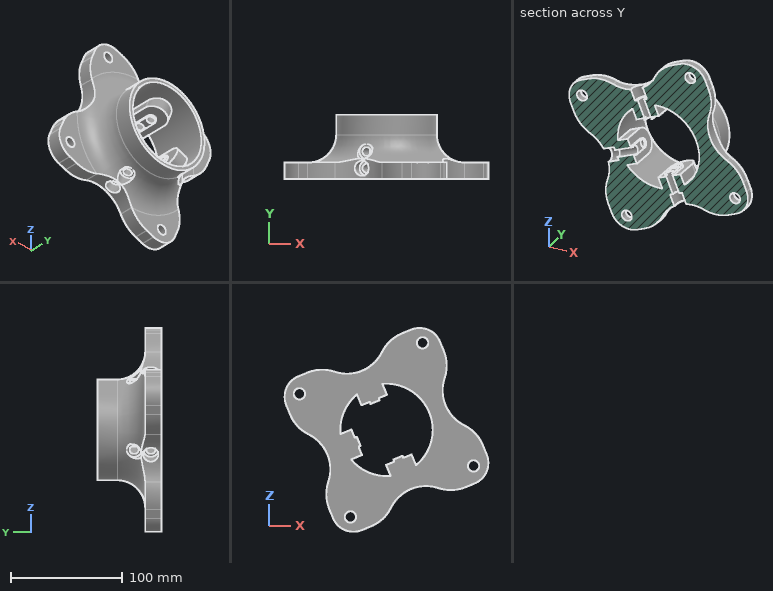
import cadquery as cq
import math

flange_thickness = 15.0
flange_side = 150.0
corner_radius = 20.0
scallop_radius = 35.0
scallop_center_distance = 92.7
shoulder_radius = 35.0
pattern_angle = 22.5
side_count = 4

bolt_spacing = 120.0
bolt_hole_diameter = 10.0

total_length = 58.0
hub_radius = 45.5
flare_radius = 25.0
bore_radius = 41.5

pad_width = 25.0
pad_end_center = 29.0
pad_distance = 29.0
key_width = 9.0
key_distance = 27.0
pad_angles = [pattern_angle + 90.0 * step for step in (1, 2, 3)]

front_screw_position = 9.8
screw_spacing = 15.0
screw_hole_diameter = 8.0
counterbore_diameter = 13.5
counterbore_floor_distance = 47.0

screw_positions = [front_screw_position, front_screw_position + screw_spacing]
half_side = flange_side / 2
flare_outer_radius = hub_radius + flare_radius
flare_end = flange_thickness + flare_radius
beyond_part = flange_side


def turned(point, angle):
    """Rotate a 2D point about the origin."""
    x, z = point
    a = math.radians(angle)
    return (x * math.cos(a) - z * math.sin(a), x * math.sin(a) + z * math.cos(a))


def arc_point(center, radius, angle):
    """Point on a circle at an angle measured from its first axis."""
    a = math.radians(angle)
    return (center[0] + radius * math.cos(a), center[1] + radius * math.sin(a))


def front_plane():
    """XZ plane with local axes +X and +Z; its normal is -Y."""
    return cq.Workplane("XZ")


def flange_outline():
    """Closed outline of the flange, each side turned from one master side."""
    shoulder_z = half_side - shoulder_radius
    drop = scallop_center_distance - shoulder_z
    shoulder_x = math.sqrt((shoulder_radius + scallop_radius) ** 2 - drop**2)
    tangent_angle = math.degrees(math.atan2(drop, -shoulder_x))
    right_shoulder = (shoulder_x, shoulder_z)
    left_shoulder = (-shoulder_x, shoulder_z)
    corner_offset = half_side - corner_radius
    corner = (corner_offset, corner_offset)
    middle_angle = (90.0 + tangent_angle) / 2

    corner_start = (half_side, corner_offset)
    corner_mid = arc_point(corner, corner_radius, 45.0)
    corner_end = (corner_offset, half_side)
    right_start = (shoulder_x, half_side)
    right_mid = arc_point(right_shoulder, shoulder_radius, middle_angle)
    right_end = arc_point(right_shoulder, shoulder_radius, tangent_angle)
    scallop_bottom = (0.0, scallop_center_distance - scallop_radius)
    left_start = arc_point(left_shoulder, shoulder_radius, 180.0 - tangent_angle)
    left_mid = arc_point(left_shoulder, shoulder_radius, 180.0 - middle_angle)
    left_end = (-shoulder_x, half_side)
    next_corner = (-corner_offset, half_side)

    outline = front_plane().moveTo(*turned(corner_start, pattern_angle))
    for side in range(side_count):
        angle = pattern_angle + 360.0 / side_count * side
        outline = outline.threePointArc(turned(corner_mid, angle), turned(corner_end, angle))
        outline = outline.lineTo(*turned(right_start, angle))
        outline = outline.threePointArc(turned(right_mid, angle), turned(right_end, angle))
        outline = outline.threePointArc(turned(scallop_bottom, angle), turned(left_start, angle))
        outline = outline.threePointArc(turned(left_mid, angle), turned(left_end, angle))
        outline = outline.lineTo(*turned(next_corner, angle))
    return outline.close()


def make_body():
    """Flared hub of revolution about Y, trimmed to the flange outline."""
    flare_mid = arc_point((flare_outer_radius, flare_end), flare_radius, 225.0)
    profile = (
        cq.Workplane("XY")
        .lineTo(beyond_part, 0)
        .lineTo(beyond_part, flange_thickness)
        .lineTo(flare_outer_radius, flange_thickness)
        .threePointArc(flare_mid, (hub_radius, flare_end))
        .lineTo(hub_radius, total_length)
        .lineTo(0, total_length)
        .close()
    )
    turned_body = profile.revolve(360, (0, 0, 0), (0, 1, 0))
    return turned_body.intersect(flange_outline().extrude(-total_length))


def radial_plane(angle, distance):
    """Plane facing outward at an angle about the Y axis; local Y runs along the part's Y."""
    a = math.radians(angle)
    outward = cq.Vector(math.cos(a), 0, math.sin(a))
    across = cq.Vector(0, 1, 0).cross(outward)
    return cq.Workplane(cq.Plane(outward * distance, across, outward))


def rounded_tongue(angle, distance, width, end_center):
    """Block from the front face to a round end, sunk into the wall around the bore."""
    root_distance = (bore_radius + hub_radius) / 2
    return (
        radial_plane(angle, distance)
        .moveTo(-width / 2, 0)
        .lineTo(width / 2, 0)
        .lineTo(width / 2, end_center)
        .threePointArc((0, end_center + width / 2), (-width / 2, end_center))
        .close()
        .extrude(root_distance - distance)
    )


def add_pads(body):
    """Add the pads and their keys to the bore wall."""
    for angle in pad_angles:
        body = body.union(rounded_tongue(angle, pad_distance, pad_width, pad_end_center))
        body = body.union(rounded_tongue(angle, key_distance, key_width, screw_positions[-1]))
    return body


def cut_screw_holes(body):
    """Drill through each pad and counterbore from the outside."""
    points = [(0, position) for position in screw_positions]
    for angle in pad_angles:
        holes = radial_plane(angle, 0).pushPoints(points).circle(screw_hole_diameter / 2)
        body = body.cut(holes.extrude(counterbore_floor_distance))
        bores = radial_plane(angle, counterbore_floor_distance).pushPoints(points)
        body = body.cut(bores.circle(counterbore_diameter / 2).extrude(beyond_part))
    return body


def cut_bolt_holes(body):
    """Drill the flange corners."""
    half = bolt_spacing / 2
    corners = [(x, z) for x in (-half, half) for z in (-half, half)]
    points = [turned(corner, pattern_angle) for corner in corners]
    holes = front_plane().pushPoints(points).circle(bolt_hole_diameter / 2)
    return body.cut(holes.extrude(-flange_thickness))


body = make_body()
body = body.cut(front_plane().circle(bore_radius).extrude(-total_length))
body = add_pads(body)
body = cut_screw_holes(body)
result = cut_bolt_holes(body)